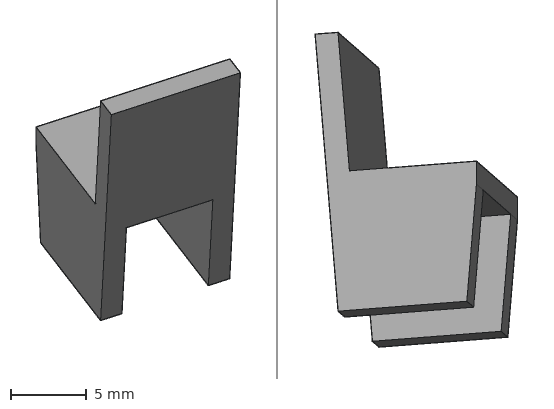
import cadquery as cq

height = 19.05
width = 9.52
seat_height = 9.52
base_back_x = 9.52
thickness = 1.58
back_lean = 1.58

lean_slope = back_lean / height
seat_underside = seat_height - thickness
front_foot_x = seat_underside * lean_slope
backrest_foot_x = base_back_x + seat_height * lean_slope - thickness
top_back_x = base_back_x + back_lean
opening_width = width - 2 * thickness


def chair_body():
    """Side profile extruded over the full width, centred on Y."""
    profile = [
        (front_foot_x, 0),
        (base_back_x, 0),
        (top_back_x, height),
        (top_back_x - thickness, height),
        (backrest_foot_x, seat_height),
        (0, seat_height),
        (0, seat_underside),
    ]
    return cq.Workplane("XZ").polyline(profile).close().extrude(width / 2, both=True)


def leg_opening():
    """Passage under the seat, open at the front and the back."""
    return cq.Workplane("XY").box(
        top_back_x, opening_width, seat_underside, centered=(False, True, False)
    )


result = chair_body().cut(leg_opening())